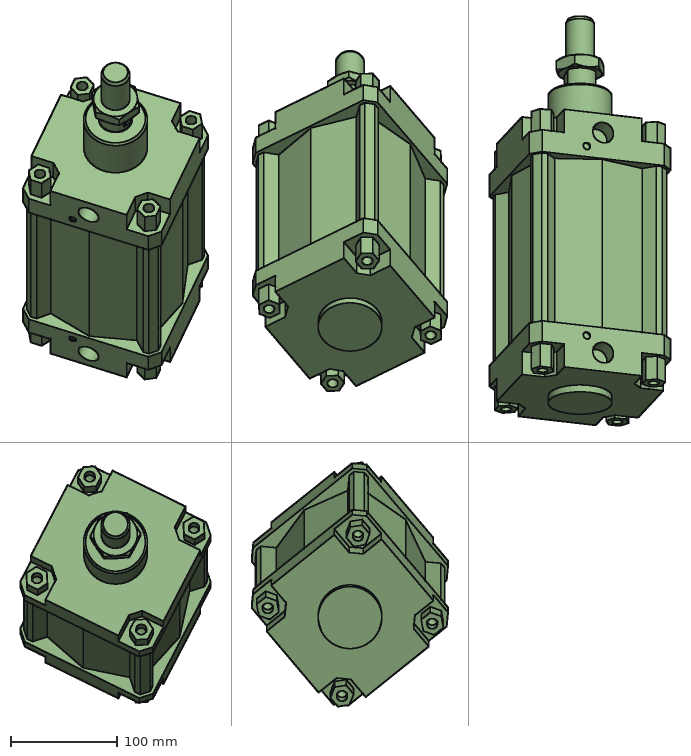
import cadquery as cq
import math


TOTAL_HEIGHT = 385.0
BOTTOM_BOSS_HEIGHT = 7.0
BOTTOM_CAP_HEIGHT = 44.0
BARREL_HEIGHT = 170.0
TOP_CAP_HEIGHT = 45.0
TOP_BOSS_HEIGHT = 45.0
NECK_HEIGHT = 1.0

BARREL_BOTTOM = BOTTOM_BOSS_HEIGHT + BOTTOM_CAP_HEIGHT
BARREL_TOP = BARREL_BOTTOM + BARREL_HEIGHT
TOP_CAP_TOP = BARREL_TOP + TOP_CAP_HEIGHT
TOP_BOSS_TOP = TOP_CAP_TOP + TOP_BOSS_HEIGHT
NECK_TOP = TOP_BOSS_TOP + NECK_HEIGHT

CAP_WIDTH = 140.0
CAP_CORNER_CHAMFER = 9.5
POCKET_INNER_EDGE = 38.5
POCKET_CHAMFER = 9.2
POCKET_DEPTH = 23.0
BOSS_DIAMETER = 60.0
BOSS_CHAMFER = 2.0

TIE_NUT_OFFSET = 55.0
TIE_NUT_ACROSS_FLATS = 19.2
TIE_NUT_HOLE_DIAMETER = 10.0
TIE_NUT_HOLE_DEPTH = 15.5
DRILL_POINT_ANGLE = 118.0

PORT_DIAMETER = 20.5
PORT_DEPTH = 20.0
PORT_FROM_CAP_END = 19.0
SCREW_HOLE_DIAMETER = 7.0
SCREW_HOLE_DEPTH = 2.0
SCREW_HOLE_X = -16.0
SCREW_HOLE_FROM_CAP_END = 34.3

BARREL_APEX = 67.8
COLUMN_FACE = 66.5
COLUMN_CHAMFER = 7.0
COLUMN_INNER_EDGE = 54.0
COLUMN_FLANK = 10.5

ROD_DIAMETER = 32.0
THREAD_DIAMETER = 27.0
THREAD_CHAMFER_WIDTH = 2.0
THREAD_CHAMFER_HEIGHT = 3.5
FLATS_WIDTH = 27.0
FLATS_BOTTOM = 317.2
ROD_TURN = -7.0

NUT_BOTTOM = 331.0
NUT_HEIGHT = 12.0
NUT_ACROSS_FLATS = 41.2
NUT_CHAMFER_ANGLE = 30.0


def across_corners(across_flats):
    """Diameter of the circle through the corners of a hexagon."""
    return across_flats / math.cos(math.radians(30))


def make_tie_nut(quadrant):
    """Hexagonal tie-rod nut with its drilled blind hole, turned with its corner of the cap."""
    hole_radius = TIE_NUT_HOLE_DIAMETER / 2
    point_height = hole_radius / math.tan(math.radians(DRILL_POINT_ANGLE / 2))
    drilled_hole = (
        cq.Workplane("XZ")
        .lineTo(hole_radius, 0)
        .lineTo(hole_radius, -TIE_NUT_HOLE_DEPTH)
        .lineTo(0, -TIE_NUT_HOLE_DEPTH - point_height)
        .close()
        .revolve(360, (0, 0), (0, 1))
    )
    nut = (
        cq.Workplane("XY")
        .polygon(6, across_corners(TIE_NUT_ACROSS_FLATS))
        .extrude(-POCKET_DEPTH)
        .cut(drilled_hole)
        .translate((TIE_NUT_OFFSET, TIE_NUT_OFFSET, 0))
    )
    return nut.rotate((0, 0, 0), (0, 0, 1), 90 * quadrant)


def make_corner_pocket(quadrant):
    """Square corner pocket whose innermost corner is cut off."""
    size = CAP_WIDTH / 2 - POCKET_INNER_EDGE
    center = POCKET_INNER_EDGE + size / 2
    pocket = (
        cq.Workplane("XY")
        .center(center, center)
        .rect(size, size)
        .extrude(-POCKET_DEPTH)
        .edges("|Z and <X and <Y")
        .chamfer(POCKET_CHAMFER)
    )
    return pocket.rotate((0, 0, 0), (0, 0, 1), 90 * quadrant)


def make_side_hole(x, z, diameter, depth):
    """Cutter for a blind hole that enters the -Y face of a cap."""
    return (
        cq.Workplane("XZ", origin=(x, -CAP_WIDTH / 2, z))
        .circle(diameter / 2)
        .extrude(-depth)
    )


def make_cap(height):
    """End cap whose outer end lies at Z = 0 and whose inner end lies below it."""
    cap = (
        cq.Workplane("XY")
        .rect(CAP_WIDTH, CAP_WIDTH)
        .extrude(-height)
        .edges("|Z")
        .chamfer(CAP_CORNER_CHAMFER)
    )
    for quadrant in range(4):
        cap = cap.cut(make_corner_pocket(quadrant)).union(make_tie_nut(quadrant))
    port = make_side_hole(0, -PORT_FROM_CAP_END, PORT_DIAMETER, PORT_DEPTH)
    screw_hole = make_side_hole(
        SCREW_HOLE_X, -SCREW_HOLE_FROM_CAP_END, SCREW_HOLE_DIAMETER, SCREW_HOLE_DEPTH
    )
    return cap.cut(port).cut(screw_hole)


def make_barrel():
    """Barrel with a ridge along each side and a chamfered column at each corner."""
    notch_x = COLUMN_INNER_EDGE - COLUMN_FLANK
    notch_y = COLUMN_FACE - COLUMN_FLANK
    column_outer_edge = COLUMN_FACE - COLUMN_CHAMFER
    side = [
        (-column_outer_edge, COLUMN_FACE),
        (-COLUMN_INNER_EDGE, COLUMN_FACE),
        (-notch_x, notch_y),
        (0, BARREL_APEX),
        (notch_x, notch_y),
        (COLUMN_INNER_EDGE, COLUMN_FACE),
        (column_outer_edge, COLUMN_FACE),
    ]
    outline = []
    for _ in range(4):
        outline += side
        side = [(y, -x) for x, y in side]
    return (
        cq.Workplane("XY", origin=(0, 0, BARREL_BOTTOM))
        .polyline(outline)
        .close()
        .extrude(BARREL_HEIGHT)
    )


def make_housing():
    """Barrel, both end caps and the boss on each cap, in one piece."""
    top_cap = make_cap(TOP_CAP_HEIGHT).translate((0, 0, TOP_CAP_TOP))
    bottom_cap = make_cap(BOTTOM_CAP_HEIGHT).mirror("XY").translate((0, 0, BOTTOM_BOSS_HEIGHT))
    top_boss = (
        cq.Workplane("XY", origin=(0, 0, TOP_CAP_TOP))
        .circle(BOSS_DIAMETER / 2)
        .extrude(TOP_BOSS_HEIGHT)
        .faces(">Z")
        .chamfer(BOSS_CHAMFER)
    )
    neck = (
        cq.Workplane("XY", origin=(0, 0, TOP_BOSS_TOP))
        .circle(ROD_DIAMETER / 2)
        .extrude(NECK_HEIGHT)
    )
    bottom_boss = cq.Workplane("XY").circle(BOSS_DIAMETER / 2).extrude(BOTTOM_BOSS_HEIGHT)
    housing = make_barrel()
    for part in (top_cap, bottom_cap, top_boss, neck, bottom_boss):
        housing = housing.union(part)
    return housing


def make_rod():
    """Rod standing on the neck: a shank with two wrench flats below a thinner threaded end."""
    shank_height = NUT_BOTTOM - NECK_TOP
    shank = (
        cq.Workplane("XY", origin=(0, 0, NECK_TOP))
        .circle(ROD_DIAMETER / 2)
        .extrude(shank_height)
    )
    flatted_part = (
        cq.Workplane("XY", origin=(0, 0, NECK_TOP))
        .rect(FLATS_WIDTH, ROD_DIAMETER)
        .extrude(shank_height)
    )
    round_part = (
        cq.Workplane("XY", origin=(0, 0, NECK_TOP))
        .circle(ROD_DIAMETER / 2)
        .extrude(FLATS_BOTTOM - NECK_TOP)
    )
    threaded_end = (
        cq.Workplane("XY", origin=(0, 0, NUT_BOTTOM))
        .circle(THREAD_DIAMETER / 2)
        .extrude(TOTAL_HEIGHT - NUT_BOTTOM)
        .faces(">Z")
        .chamfer(THREAD_CHAMFER_HEIGHT, THREAD_CHAMFER_WIDTH)
    )
    rod = shank.intersect(flatted_part).union(round_part).union(threaded_end)
    return rod.rotate((0, 0, 0), (0, 0, 1), ROD_TURN)


def make_lock_nut():
    """Hexagonal nut with its corners chamfered at both ends, resting on the rod's shoulder."""
    corner_radius = across_corners(NUT_ACROSS_FLATS) / 2
    end_radius = NUT_ACROSS_FLATS / 2
    chamfer_height = (corner_radius - end_radius) * math.tan(math.radians(NUT_CHAMFER_ANGLE))
    hexagon = cq.Workplane("XY").polygon(6, 2 * corner_radius).extrude(NUT_HEIGHT)
    envelope = (
        cq.Workplane("XY")
        .circle(corner_radius)
        .extrude(NUT_HEIGHT)
        .faces("<Z or >Z")
        .chamfer(chamfer_height, corner_radius - end_radius)
    )
    bore = cq.Workplane("XY").circle(THREAD_DIAMETER / 2).extrude(NUT_HEIGHT)
    return hexagon.intersect(envelope).cut(bore).translate((0, 0, NUT_BOTTOM))


housing = make_housing()
rod = make_rod()
lock_nut = make_lock_nut()

result = cq.Compound.makeCompound([housing.val(), rod.val(), lock_nut.val()])